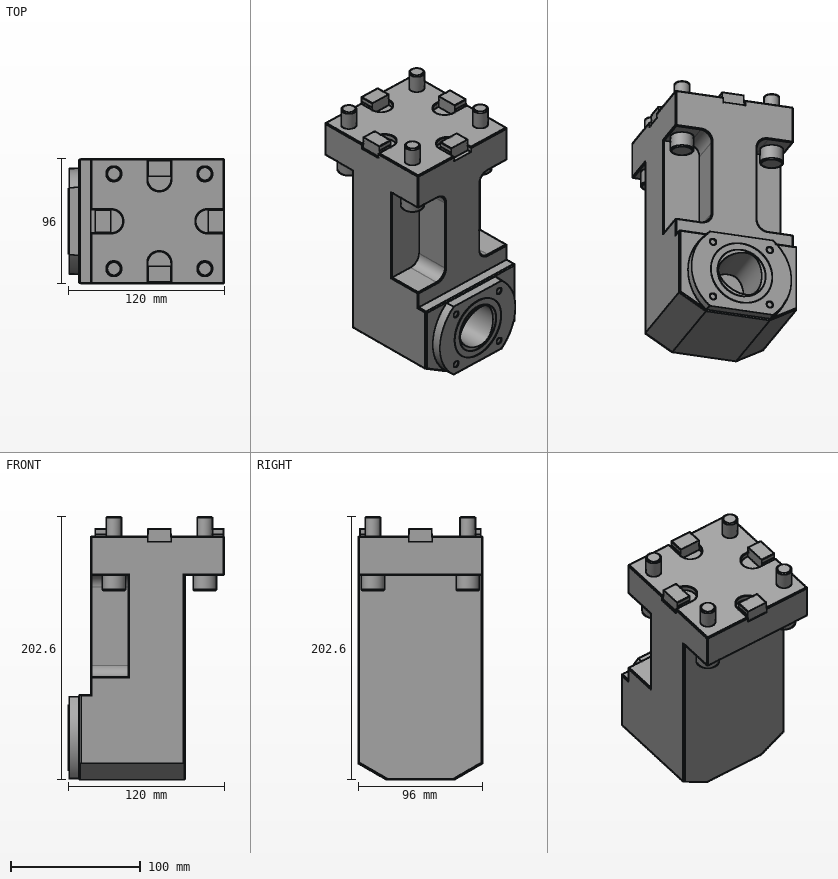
import cadquery as cq
import math


width = 96.0
half_width = width / 2
flange_left = -53.0
flange_right = 50.0
flange_thickness = 30.0
column_right = 20.0
block_left = -62.0
shoulder_z = -122.0
bottom_z = -187.5
edge_chamfer = 0.8
end_chamfer = 1.0

bottom_half_width = 26.0
slope_angle = 30.0
slope_height = (half_width - bottom_half_width) * math.tan(math.radians(slope_angle))

pocket_right = -23.8
pocket_inner_y = 18.5
pocket_floor_z = -108.3
pocket_radius = 9.0

slot_width = 18.0
slot_mouth_chamfer = 0.5
slot_mouth_angle = 45.0
slot_tip_x = 28.0
slot_tip_y = 23.3
slot_depth = 4.3
key_length = 12.0
key_height = 10.0
key_step_z = 1.7
key_side_relief = 0.1
key_chamfer = 0.3
key_outer_x = 49.5
key_outer_y = 46.5

screw_spacing_x = 70.0
screw_spacing_y = 73.0
screw_diameter = 12.0
screw_tip_diameter = 10.0
screw_tip_chamfer = (screw_diameter - screw_tip_diameter) / 2
screw_protrusion = 15.05
head_diameter = 18.0
head_height = 12.0
head_chamfer = 1.0

spindle_z = -155.0
nose_base_diameter = 82.0
nose_front_diameter = 81.3
nose_flat_height = 63.0
nose_left = -69.5
ring_left = -70.0
ring_outer_diameter = 50.0
ring_inner_diameter = 39.2

socket_diameter = 35.3
socket_lobe = 1.15
socket_depth = 40.0
socket_taper = 1 / 20

cover_screw_spacing = 46.2
recess_diameter = 5.5
recess_floor_diameter = 4.7
recess_depth = (recess_diameter - recess_floor_diameter) / 2

TOLERANCE = 0.01


def box(x_min, x_max, y_min, y_max, z_min, z_max):
    block = cq.Workplane("XY").box(x_max - x_min, y_max - y_min, z_max - z_min, centered=False)
    return block.translate((x_min, y_min, z_min))


def same(a, b):
    return abs(a - b) < TOLERANCE


def make_blank():
    """Side outline of the housing, trimmed by the sloped lower corners."""
    blank = (
        cq.Workplane("XZ")
        .moveTo(flange_left, 0)
        .lineTo(flange_right, 0)
        .lineTo(flange_right, -flange_thickness)
        .lineTo(column_right, -flange_thickness)
        .lineTo(column_right, bottom_z)
        .lineTo(block_left, bottom_z)
        .lineTo(block_left, shoulder_z)
        .lineTo(flange_left, shoulder_z)
        .close()
        .extrude(half_width, both=True)
    )
    end_outline = (
        cq.Workplane("YZ")
        .moveTo(-half_width, 0)
        .lineTo(half_width, 0)
        .lineTo(half_width, bottom_z + slope_height)
        .lineTo(bottom_half_width, bottom_z)
        .lineTo(-bottom_half_width, bottom_z)
        .lineTo(-half_width, bottom_z + slope_height)
        .close()
        .extrude(flange_right - block_left)
        .translate((block_left, 0, 0))
    )
    return blank.intersect(end_outline)


def make_pocket(side):
    """Pocket open to -X and to one Y side, rounded along its inner wall."""
    pocket = box(block_left, pocket_right, pocket_inner_y, half_width, pocket_floor_z, -flange_thickness)
    pocket = pocket.edges("|X and <Y").fillet(pocket_radius)
    return pocket if side > 0 else pocket.mirror("XZ")


def is_end_edge(edge):
    """True for the outer edges of the block's -X face and the column's +X face."""
    bounds = edge.BoundingBox()
    on_end = same(bounds.xlen, 0) and (same(bounds.xmin, block_left) or same(bounds.xmin, column_right))
    return on_end and not same(bounds.zmin, -flange_thickness)


def is_rim_edge(edge):
    """True for the other outer edges, leaving out inside corners and the slope folds."""
    bounds = edge.BoundingBox()
    if same(bounds.ylen, 0) and same(abs(bounds.ymin), half_width):
        slope_fold = same(bounds.zmax, bottom_z + slope_height)
        return not slope_fold
    on_flange_end = same(bounds.xmin, flange_right)
    on_left_wall = same(bounds.xmax, flange_left) and not same(bounds.zmax, shoulder_z)
    return same(bounds.xlen, 0) and (on_flange_end or on_left_wall)


def chamfer_where(body, wanted, size):
    return body.newObject([edge for edge in body.edges().vals() if wanted(edge)]).chamfer(size)


def make_housing():
    housing = make_blank()
    for side in (-1, 1):
        housing = housing.cut(make_pocket(side))
    housing = chamfer_where(housing, is_end_edge, end_chamfer)
    return chamfer_where(housing, is_rim_edge, edge_chamfer)


def make_slot(tip):
    """Round-ended slot running out through the +X side, with a chamfered mouth."""
    radius = slot_width / 2
    centre_x = tip + radius
    end_x = -block_left
    outline = (
        cq.Workplane("XY")
        .moveTo(end_x, -radius)
        .lineTo(centre_x, -radius)
        .threePointArc((tip, 0), (centre_x, radius))
        .lineTo(end_x, radius)
        .close()
    )
    slot = outline.extrude(-slot_depth)
    mouth_floor = outline.translate((0, 0, -slot_mouth_chamfer))
    mouth = mouth_floor.toPending().extrude(slot_mouth_chamfer, taper=-slot_mouth_angle)
    return slot.union(mouth)


def make_key(outer_end):
    """Key standing in the +X slot, slightly narrower above its step."""
    inner_end = outer_end - key_length
    half_base = slot_width / 2
    half_top = half_base - key_side_relief
    key_top_z = key_height - slot_depth
    base = box(inner_end, outer_end, -half_base, half_base, -slot_depth, key_step_z)
    top = box(inner_end, outer_end, -half_top, half_top, key_step_z, key_top_z)
    top = top.faces(">Z").edges("|X").chamfer(key_chamfer)
    return base.union(top)


def add_keys(body):
    along_x = (slot_tip_x, key_outer_x)
    along_y = (slot_tip_y, key_outer_y)
    for angle, (tip, outer_end) in ((0, along_x), (90, along_y), (180, along_x), (270, along_y)):
        slot = make_slot(tip).rotate((0, 0, 0), (0, 0, 1), angle)
        key = make_key(outer_end).rotate((0, 0, 0), (0, 0, 1), angle)
        body = body.cut(slot).union(key)
    return body


def make_screw():
    """Clamping screw with its head under the flange and its tip above the clamping face."""
    head = (
        cq.Workplane("XY", origin=(0, 0, -flange_thickness))
        .circle(head_diameter / 2)
        .extrude(-head_height)
        .faces("<Z")
        .chamfer(head_chamfer)
    )
    shank = (
        cq.Workplane("XY", origin=(0, 0, -flange_thickness))
        .circle(screw_diameter / 2)
        .extrude(flange_thickness + screw_protrusion)
        .faces(">Z")
        .chamfer(screw_tip_chamfer)
    )
    return head.union(shank)


def add_screws(body):
    for x in (-screw_spacing_x / 2, screw_spacing_x / 2):
        for y in (-screw_spacing_y / 2, screw_spacing_y / 2):
            body = body.union(make_screw().translate((x, y, 0)))
    return body


def spindle_plane(x):
    """Plane across the spindle axis, facing -X, with local x along -Y and local y along +Z."""
    return cq.Workplane(cq.Plane(origin=(x, 0, spindle_z), xDir=(0, -1, 0), normal=(-1, 0, 0)))


def make_nose():
    """Slightly conical nose with flats above and below, carrying a raised ring."""
    nose_length = block_left - nose_left
    disc = (
        spindle_plane(block_left)
        .circle(nose_base_diameter / 2)
        .workplane(offset=nose_length)
        .circle(nose_front_diameter / 2)
        .loft(ruled=True)
    )
    flats = spindle_plane(block_left).rect(nose_base_diameter, nose_flat_height).extrude(nose_length)
    ring = (
        spindle_plane(nose_left)
        .circle(ring_outer_diameter / 2)
        .circle(ring_inner_diameter / 2)
        .extrude(nose_left - ring_left)
    )
    return disc.intersect(flats).union(ring)


def socket_point(turn, scale):
    """Point of the three-lobed curve, with one lobe toward +Y."""
    angle = 2 * math.pi * turn
    radius = socket_diameter / 2 + socket_lobe * math.cos(3 * angle)
    tangent = 3 * socket_lobe * math.sin(3 * angle)
    across = radius * math.cos(angle) + tangent * math.sin(angle)
    up = radius * math.sin(angle) - tangent * math.cos(angle)
    return (-scale * across, scale * up)


def make_socket():
    """Blind three-lobed socket that narrows with depth."""
    end_scale = 1 - socket_depth * socket_taper / socket_diameter
    return (
        spindle_plane(nose_left)
        .parametricCurve(lambda turn: socket_point(turn, 1))
        .workplane(offset=-socket_depth)
        .parametricCurve(lambda turn: socket_point(turn, end_scale))
        .loft(ruled=True, combine=False)
    )


def cut_cover_screw_recesses(body):
    recess = (
        spindle_plane(nose_left)
        .circle(recess_diameter / 2)
        .workplane(offset=-recess_depth)
        .circle(recess_floor_diameter / 2)
        .loft(ruled=True)
    )
    for y in (-cover_screw_spacing / 2, cover_screw_spacing / 2):
        for z in (-cover_screw_spacing / 2, cover_screw_spacing / 2):
            body = body.cut(recess.translate((0, y, z)))
    return body


result = make_housing().union(make_nose()).cut(make_socket())
result = cut_cover_screw_recesses(result)
result = add_screws(add_keys(result))